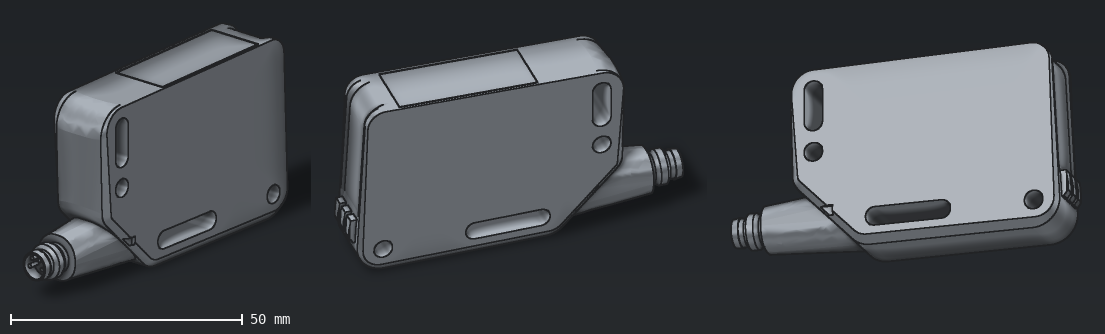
import cadquery as cq
import math


margin = 1.0

half_width = 7.55
core_half_width = 6.3

top_front_z = 40.42
top_slope = math.radians(1.32)

front_y = 0.0
core_back_bottom_y = 62.1
core_back_slope = math.radians(3.3)
diagonal_sum = 16.3
core_bottom_radius = 6.2
core_diagonal_radius = 5.5
front_top_radius = 6.4
front_bottom_radius = 4.0
back_top_radius = 4.0

bow_low_z, bow_low_sag = 16.4, 1.05
bow_high_z, bow_high_sag = 33.8, 0.58

side_base_z = 1.98
side_diagonal_sum = 18.55
side_front_low = (2.6, 16.4)
side_front_high = (1.3, 33.8)
side_back_bottom_y = 61.0
side_back_slope = math.radians(1.95)
side_bottom_radius = 4.3
side_diagonal_radius = 4.0
side_front_top_radius = 5.0
side_front_bottom_radius = 1.5

recess_depth = 0.45
recess_floor_half_width = 4.53
recess_mouth_half_width = 5.7
recess_base_z, recess_ramp_z = 14.5, 12.0
recess_top_radius = 5.6

label_width = 13.3
label_y = (20.55, 52.17)
label_depth = 0.15

hole_diameter = 4.2
low_hole_z = 5.93
front_hole_y = 6.16
corner_hole_y = 56.2
front_hole_z = 21.9
base_slot_y = (18.0, 37.3)
front_slot_z = (26.7, 38.0)

button_pitch = 3.55
button_width = 2.4
button_chamfer = 0.25
button_base_y = 60.0
button_tip_y = 63.08
button_base_z, button_top_z = 7.1, 12.9
button_tip_z = (8.4, 10.0)
button_low_setback, button_high_setback = 0.9, 0.4

plug_z = 7.66
sleeve_tip_y, sleeve_tip_width, sleeve_tip_flat = -6.57, 10.36, 1.0
sleeve_root_y, sleeve_root_width, sleeve_root_flat = 14.65, 13.24, 4.0
sleeve_root_z = 8.22

notch_x = 6.65
notch_z = (7.35, 9.45)
notch_back_y = 10.5

plug_end_y = -14.03
neck_radius = 3.4
collar_radius = 4.05
nose_radius = 3.15
collar_y = (-7.73, -8.78, -10.4, -11.2)
nose_ridge_y = -12.4
socket_radius = 2.8
socket_depth = 3.0
pin_radius = 0.45
pin_length = 2.5
pins = [(-1.74, -0.42), (-1.06, 1.55), (1.06, 1.55), (1.74, -0.42)]


def top_z(y):
    """Height of the sloping top face."""
    return top_front_z + y * math.tan(top_slope)


def back_top(bottom_y, slope):
    """Corner where a back line, leaning forward from (bottom_y, 0), meets the top line."""
    lean = math.tan(slope)
    y = (bottom_y - lean * top_front_z) / (1 + lean * math.tan(top_slope))
    return (y, top_z(y))


def crossing_y(low, high, z):
    """Y at height z on the line through two (y, z) points."""
    return low[0] + (high[0] - low[0]) * (z - low[1]) / (high[1] - low[1])


def outline(x, corners):
    """Closed outline in the plane at x, from (y, z, corner radius) corners."""
    sketch = None
    for i, (y, z, radius) in enumerate(corners):
        corner = cq.Vector(y, z)
        before = cq.Vector(*corners[i - 1][:2])
        after = cq.Vector(*corners[(i + 1) % len(corners)][:2])
        to_before = (before - corner).normalized()
        to_after = (after - corner).normalized()
        half_angle = to_before.getAngle(to_after) / 2
        reach = radius / math.tan(half_angle)
        start = corner + to_before * reach
        end = corner + to_after * reach
        bisector = (to_before + to_after).normalized()
        middle = corner + bisector * (radius / math.sin(half_angle) - radius)
        if sketch is None:
            sketch = cq.Workplane("YZ", origin=(x, 0, 0)).moveTo(start.x, start.y)
        else:
            sketch = sketch.lineTo(start.x, start.y)
        if radius > 0:
            sketch = sketch.threePointArc((middle.x, middle.y), (end.x, end.y))
    return sketch.close()


def between(first, second):
    """Straight-sided solid between two outlines."""
    wires = [first.wire().val(), second.wire().val()]
    return cq.Workplane(cq.Solid.makeLoft(wires, True))


def core_corners(front_low, front_high, top_radius, bottom_radius):
    """Core outline whose front runs through two (y, z) points, with its two front corner radii."""
    low_z = diagonal_sum - front_low[0]
    low_y = crossing_y(front_low, front_high, low_z)
    high_y = crossing_y(front_low, front_high, top_front_z)
    return [
        (low_y, low_z, bottom_radius),
        (diagonal_sum, 0, core_diagonal_radius),
        (core_back_bottom_y, 0, core_bottom_radius),
        (*back_top(core_back_bottom_y, core_back_slope), back_top_radius),
        (high_y, top_z(high_y), top_radius),
    ]


def side_corners():
    """Outline of the flat sides."""
    low_z = side_diagonal_sum - side_front_low[0]
    low_y = crossing_y(side_front_low, side_front_high, low_z)
    high_y = crossing_y(side_front_low, side_front_high, top_front_z)
    return [
        (low_y, low_z, side_front_bottom_radius),
        (side_diagonal_sum - side_base_z, side_base_z, side_diagonal_radius),
        (side_back_bottom_y, side_base_z, side_bottom_radius),
        (*back_top(side_back_bottom_y, side_back_slope), back_top_radius),
        (high_y, top_z(high_y), side_front_top_radius),
    ]


def bow_section(z):
    """Plan section at height z with the bowed front as an arc."""
    rate = (bow_high_sag - bow_low_sag) / (bow_high_z - bow_low_z)
    sag = bow_low_sag + rate * (z - bow_low_z)
    back = core_back_bottom_y + margin
    return (
        cq.Workplane("XY", origin=(0, 0, z))
        .moveTo(-core_half_width, sag)
        .threePointArc((0, front_y), (core_half_width, sag))
        .lineTo(core_half_width, back)
        .lineTo(-core_half_width, back)
        .close()
    )


def front_edge_near(z):
    """Selects the bowed edge across the front that lies close to height z."""
    return cq.selectors.BoxSelector(
        (-core_half_width, front_y - margin, z - margin),
        (core_half_width, front_y + margin, z + margin),
    )


def make_core():
    corners = core_corners((front_y, bow_low_z), (front_y, bow_high_z), 0, 0)
    block = outline(-core_half_width, corners).extrude(2 * core_half_width)
    bowed = block.intersect(between(bow_section(-margin), bow_section(top_z(core_back_bottom_y) + margin)))
    top_edge = front_edge_near(top_front_z)
    low_edge = front_edge_near(diagonal_sum - front_y)
    bowed = bowed.edges(top_edge).fillet(front_top_radius)
    return bowed.edges(low_edge).fillet(front_bottom_radius)


def make_chamfered_side(side):
    """Layer from the core out to the flat side at -X (side = -1) or +X (side = 1)."""
    corners = core_corners(
        (bow_low_sag, bow_low_z),
        (bow_high_sag, bow_high_z),
        front_top_radius,
        front_bottom_radius,
    )
    return between(
        outline(side * core_half_width, corners),
        outline(side * half_width, side_corners()),
    )


def recess_outline(x, depth, radius):
    """Region behind the recess floor, which lies a given depth inside the back face."""
    bottom_y = core_back_bottom_y - depth
    outside_y = core_back_bottom_y + margin
    above_z = top_z(outside_y) + margin
    base_y = bottom_y - recess_base_z * math.tan(core_back_slope)
    corner_y, corner_z = back_top(bottom_y, core_back_slope)
    inner_y = corner_y - 2 * radius
    ramp_y = core_back_bottom_y - recess_ramp_z * math.tan(core_back_slope)
    return outline(x, [
        (ramp_y, recess_ramp_z, 0),
        (base_y, recess_base_z, 0),
        (corner_y, corner_z, radius),
        (inner_y, top_z(inner_y), 0),
        (inner_y, above_z, 0),
        (outside_y, above_z, 0),
        (outside_y, recess_ramp_z, 0),
    ])


def make_display_recess():
    floor = recess_outline(-recess_floor_half_width, recess_depth, recess_top_radius)
    recess = floor.extrude(2 * recess_floor_half_width)
    for side in (-1, 1):
        recess = recess.union(between(
            recess_outline(side * recess_floor_half_width, recess_depth, recess_top_radius),
            recess_outline(side * recess_mouth_half_width, 0, back_top_radius),
        ))
    return recess


def make_label_recess():
    start, end = label_y
    return (
        cq.Workplane("YZ", origin=(-label_width / 2, 0, 0))
        .polyline([
            (start, top_z(start) - label_depth),
            (end, top_z(end) - label_depth),
            (end, top_z(end) + margin),
            (start, top_z(start) + margin),
        ])
        .close()
        .extrude(label_width)
    )


def slot(start, end):
    """Through slot across the housing between the outer ends of its axis, as (y, z) points."""
    length = math.dist(start, end)
    angle = math.degrees(math.atan2(end[1] - start[1], end[0] - start[0]))
    return (
        cq.Workplane("YZ", origin=(-half_width - margin, 0, 0))
        .center((start[0] + end[0]) / 2, (start[1] + end[1]) / 2)
        .slot2D(length, hole_diameter, angle)
        .extrude(2 * (half_width + margin))
    )


def make_mounting_holes():
    centres = [(corner_hole_y, low_hole_z), (front_hole_y, front_hole_z)]
    holes = (
        cq.Workplane("YZ", origin=(-half_width - margin, 0, 0))
        .pushPoints(centres)
        .circle(hole_diameter / 2)
        .extrude(2 * (half_width + margin))
    )
    base_slot = slot((base_slot_y[0], low_hole_z), (base_slot_y[1], low_hole_z))
    front_slot = slot((front_hole_y, front_slot_z[0]), (front_hole_y, front_slot_z[1]))
    return holes.union(base_slot).union(front_slot)


def make_button(x):
    return (
        cq.Workplane("YZ", origin=(x - button_width / 2, 0, 0))
        .polyline([
            (button_base_y, button_base_z),
            (button_tip_y - button_low_setback, button_base_z),
            (button_tip_y, button_tip_z[0]),
            (button_tip_y, button_tip_z[1]),
            (button_tip_y - button_high_setback, button_top_z),
            (button_base_y, button_top_z),
        ])
        .close()
        .extrude(button_width)
        .faces(">Y")
        .edges("|Z")
        .chamfer(button_chamfer)
    )


def sleeve_section(y, z, width, flat):
    """Square section with corners rounded until a given flat is left on each side."""
    block = cq.Workplane("XZ", origin=(0, y, z)).rect(width, width).extrude(margin)
    rounded = block.edges("|Y").fillet((width - flat) / 2)
    return rounded.faces(">Y").wires()


def make_notch():
    low_z, high_z = notch_z
    return (
        cq.Workplane("XY", origin=(notch_x, front_y, low_z))
        .rect(half_width, notch_back_y, centered=False)
        .extrude(high_z - low_z)
    )


def make_sleeve():
    sections = [
        sleeve_section(sleeve_tip_y, plug_z, sleeve_tip_width, sleeve_tip_flat),
        sleeve_section(sleeve_root_y, sleeve_root_z, sleeve_root_width, sleeve_root_flat),
    ]
    return between(*sections)


def make_plug():
    profile = [
        (0, sleeve_tip_y + margin),
        (neck_radius, sleeve_tip_y + margin),
        (neck_radius, collar_y[0]),
        (collar_radius, collar_y[1]),
        (collar_radius, collar_y[2]),
        (nose_radius, collar_y[3]),
        (nose_radius, nose_ridge_y),
        (neck_radius, nose_ridge_y),
        (nose_radius, plug_end_y),
        (0, plug_end_y),
    ]
    plug = (
        cq.Workplane("XY", origin=(0, 0, plug_z))
        .polyline(profile)
        .close()
        .revolve(360, (0, 0), (0, 1))
    )
    socket_floor = cq.Workplane("XZ", origin=(0, plug_end_y + socket_depth, plug_z))
    socket = socket_floor.circle(socket_radius).extrude(socket_depth)
    contacts = socket_floor.pushPoints(pins).circle(pin_radius).extrude(pin_length)
    return plug.cut(socket).union(contacts)


housing = make_core()
for side in (-1, 1):
    housing = housing.union(make_chamfered_side(side))
housing = housing.cut(make_display_recess()).cut(make_label_recess())
housing = housing.cut(make_notch())
housing = housing.union(make_sleeve()).union(make_plug())
for step in (-1, 0, 1):
    housing = housing.union(make_button(step * button_pitch))
result = housing.cut(make_mounting_holes())